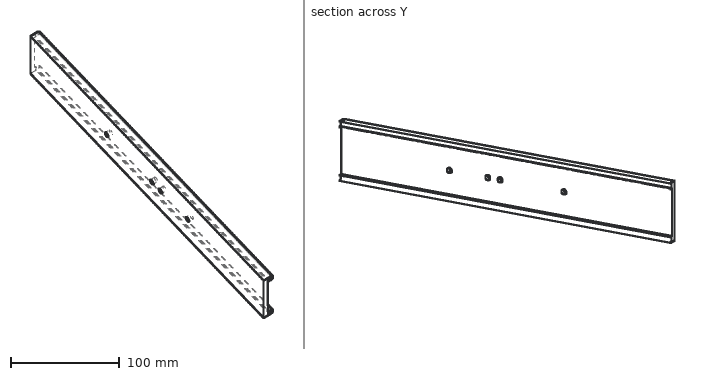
import cadquery as cq

length = 352.0
height = 58.0
plate_thickness = 5.0

sleeve_diameter = 6.0
bore_diameter = 5.0
foot_depth = 1.0

hole_diameter = 5.0
hole_positions = (-61.0, 7.0, 20.0, 61.0)

total_depth = plate_thickness + sleeve_diameter
front_face = -total_depth / 2
back_face = front_face + plate_thickness
sleeve_radius = sleeve_diameter / 2
sleeve_y = back_face + sleeve_radius
sleeve_z = height / 2 - sleeve_radius


def bar(y_min, y_max, z_min, z_max):
    """Rectangular bar running the full length."""
    return (
        cq.Workplane("XY")
        .box(length, y_max - y_min, z_max - z_min)
        .translate((0, (y_min + y_max) / 2, (z_min + z_max) / 2))
    )


def rod(diameter):
    """Full-length rod on the axis of the upper sleeve."""
    return (
        cq.Workplane("YZ", origin=(-length / 2, 0, 0))
        .center(sleeve_y, sleeve_z)
        .circle(diameter / 2)
        .extrude(length)
    )


def upper_sleeve():
    """Tube touching the plate, squared off at the plate edge and footed on its inner side."""
    corner = bar(back_face, sleeve_y, sleeve_z, height / 2)
    foot = bar(back_face, back_face + foot_depth, sleeve_z - sleeve_radius, sleeve_z)
    return rod(sleeve_diameter).union(corner).union(foot).cut(rod(bore_diameter))


def mounting_holes():
    """Cutters spanning the whole depth of the part."""
    return (
        cq.Workplane("XZ", origin=(0, total_depth / 2, 0))
        .pushPoints([(x, 0) for x in hole_positions])
        .circle(hole_diameter / 2)
        .extrude(total_depth)
    )


plate = bar(front_face, back_face, -height / 2, height / 2)
sleeve = upper_sleeve()
result = plate.union(sleeve).union(sleeve.mirror("XY")).cut(mounting_holes())